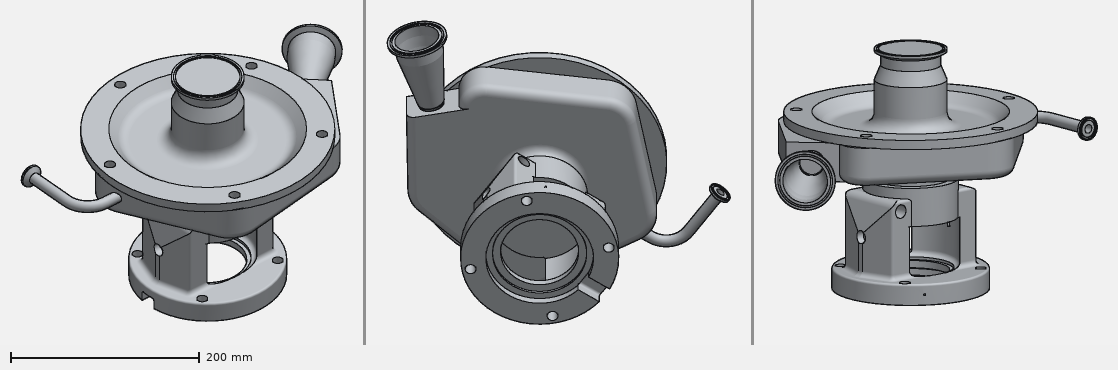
import cadquery as cq
import math

BASE_TOP = 22.8
COLLAR_BOTTOM = 78.5
LEG_TOP = 108.5
COLLAR_TOP = 120.0
BODY_BOTTOM = 139.5
FLANGE_BOTTOM = 182.0
FLANGE_TOP = 192.0
INLET_CONE_BOTTOM = 227.0
INLET_NECK_BOTTOM = 243.0
TOTAL_HEIGHT = 261.0

BASE_R = 84.0
BASE_EDGE_FILLET = 2.5
PILOT_R = 57.15
PILOT_DEPTH = 9.0
RELIEF_R = 50.0
RELIEF_DEPTH = 12.0
BASE_BORE_R = 41.5
BASE_COUNTERBORE_R = 46.0
BASE_COUNTERBORE_DEPTH = 3.0
BASE_BOLT_CIRCLE_R = 74.6
BASE_BOLT_D = 11.5
BASE_BOLT_COUNT = 4
BASE_BOLT_START = 45.0
NOTCH_WIDTH = 19.5
NOTCH_HEIGHT = 12.7
NOTCH_FILLET = 3.0
PIN_HOLE_D = 2.0
PIN_HOLE_DEPTH = 10.0
PIN_HOLE_Z = 11.5
PIN_HOLE_ANGLE = 150.0

COLLAR_R = 51.0
LEG_HALF_WIDTH = 39.5
LEG_ROOT_Y = 30.0
LEG_SIDE_Y = 58.2
LEG_RIDGE_Y = 70.0
RIDGE_HALF_WIDTH = 3.2
LEG_INNER_R = 52.6
LEG_SLOPE_START_Z = 70.0
LEG_SLOPE_RUN = 0.348
LEG_BROW_FILLET = 11.0
LEG_EDGE_FILLET = 3.5
LEG_FOOT_FILLET = 6.0
RIDGE_HOLE_D = 14.0
RIDGE_HOLE_Z = 65.5
RIDGE_HOLE_FLOOR_Y = 60.0
SLIT_WIDTH = 3.5
CROSS_HOLE_D = 14.5
CROSS_HOLE_Y = 47.2
CROSS_HOLE_Z = 97.0

NECK_R = 42.0
NECK_FILLET = 10.0
BODY_APOTHEM = 115.0
BODY_CORNER_R = 35.0
BODY_BOTTOM_FILLET = 10.0
FIRST_FACE_ANGLE = 9.0
FACE_COUNT = 5
FLANGE_R = 135.0
RECESS_R = 105.0
RECESS_DEPTH = 15.0
RECESS_FILLET = 15.0
RECESS_SLOPE = 45.0
COVER_SPIGOT_DEPTH = 10.0
COVER_BOLT_CIRCLE_R = 121.8
COVER_BOLT_D = 12.0
COVER_BOLT_COUNT = 5
COVER_BOLT_START = 45.0
INLET_R = 38.75
INLET_NECK_R = 32.0

OUTLET_ANGLE = 135.0
OUTLET_OFFSET = 96.2
OUTLET_FACE = 110.0
OUTLET_Z = 159.8
SIDE_WALL_ANGLE = 54.7
SIDE_WALL_OFFSET = 140.2
SHOULDER_ANGLE = 63.0
SHOULDER_OFFSET = 97.5
SHOULDER_CORNER_R = 27.0
STUB_R = 13.5
CONE_START = 113.0
CONE_END = 176.0
CONE_SMALL_R = 14.3
OUTLET_END = 195.2
OUTLET_TUBE_R = 25.4
OUTLET_FLANGE_R = 32.0
WALL = 1.65
BORE_TAPER_START = 182.0
BORE_THROAT_R = 22.4
BORE_THROAT = 169.5
OUTLET_GROOVE_R = 28.1
OUTLET_FERRULE_TAPER = 1.8

DRAIN_Z = 163.0
DRAIN_R = 6.35
DRAIN_START_Y = -110.0
DRAIN_BEND_START_Y = -143.3
DRAIN_BEND_R = 28.6
DRAIN_END_X = -89.0
DRAIN_FLANGE_R = 12.5
DRAIN_GROOVE_R = 10.2

FERRULE_RIM = 2.9
FERRULE_TAPER = 3.6
INLET_GROOVE_R = 35.3
GROOVE_HALF_WIDTH = 1.0
GROOVE_DEPTH = 1.0

CLEARANCE = 1.0
PICK_TOLERANCE = 0.1


def polar(radius, angle):
    """Point at a radius and an angle in degrees about the main axis."""
    a = math.radians(angle)
    return (radius * math.cos(a), radius * math.sin(a))


def cylinder(radius, bottom, top):
    return cq.Workplane("XY").workplane(offset=bottom).circle(radius).extrude(top - bottom)


def meet(wall_a, wall_b):
    """Corner where two upright walls, each (normal angle, offset), meet."""
    a1, d1 = math.radians(wall_a[0]), wall_a[1]
    a2, d2 = math.radians(wall_b[0]), wall_b[1]
    det = math.sin(a2 - a1)
    x = (d1 * math.sin(a2) - d2 * math.sin(a1)) / det
    y = (d2 * math.cos(a1) - d1 * math.cos(a2)) / det
    return (x, y)


def groove_ring(groove_r, face, back):
    """Gasket groove cutter about the Z axis of a ferrule, between two heights."""
    outer = cylinder(groove_r + GROOVE_HALF_WIDTH, back, face)
    return outer.cut(cylinder(groove_r - GROOVE_HALF_WIDTH, back, face))


def make_leg():
    """Leg on the -Y side: its plan, side and front outlines extruded and intersected."""
    root_z = BASE_TOP / 2
    height = LEG_TOP - root_z
    plan = [
        (-LEG_HALF_WIDTH, -LEG_ROOT_Y),
        (-LEG_HALF_WIDTH, -LEG_SIDE_Y),
        (-RIDGE_HALF_WIDTH, -LEG_RIDGE_Y),
        (RIDGE_HALF_WIDTH, -LEG_RIDGE_Y),
        (LEG_HALF_WIDTH, -LEG_SIDE_Y),
        (LEG_HALF_WIDTH, -LEG_ROOT_Y),
    ]
    plan_block = cq.Workplane("XY").workplane(offset=root_z).polyline(plan).close().extrude(height)
    outer_corners = cq.selectors.BoxSelector(
        (-BASE_R, -LEG_SIDE_Y - CLEARANCE, root_z), (BASE_R, -LEG_SIDE_Y + CLEARANCE, LEG_TOP))
    plan_block = plan_block.edges("|Z").edges(outer_corners).fillet(LEG_EDGE_FILLET)

    brow_y = LEG_RIDGE_Y - LEG_SLOPE_RUN * (LEG_TOP - LEG_SLOPE_START_Z)
    side = [
        (-LEG_ROOT_Y, root_z),
        (-LEG_ROOT_Y, LEG_TOP),
        (-brow_y, LEG_TOP),
        (-LEG_RIDGE_Y, LEG_SLOPE_START_Z),
        (-LEG_RIDGE_Y, root_z),
    ]
    side_block = cq.Workplane("YZ").polyline(side).close().extrude(LEG_HALF_WIDTH, both=True)
    side_block = side_block.faces(">Z").edges("<Y").fillet(LEG_BROW_FILLET)

    front_block = cq.Workplane("XY").box(
        2 * LEG_HALF_WIDTH, LEG_RIDGE_Y, height, centered=(True, False, False))
    front_block = front_block.faces(">Z").edges("|Y").fillet(LEG_EDGE_FILLET)
    front_block = front_block.translate((0, -LEG_RIDGE_Y, root_z))
    return plan_block.intersect(side_block).intersect(front_block)


def make_stand():
    """Base ring, two opposite legs and the collar they carry."""
    leg = make_leg()
    legs = leg.union(leg.rotate((0, 0, 0), (0, 0, 1), 180))
    legs = legs.cut(cylinder(LEG_INNER_R, 0, COLLAR_BOTTOM))
    base = cylinder(BASE_R, 0, BASE_TOP).faces(">Z").edges().fillet(BASE_EDGE_FILLET)
    foot_reach = LEG_RIDGE_Y + CLEARANCE
    foot_edges = cq.selectors.BoxSelector(
        (-foot_reach, -foot_reach, BASE_TOP - PICK_TOLERANCE),
        (foot_reach, foot_reach, BASE_TOP + PICK_TOLERANCE),
        boundingbox=True,
    )
    stand = base.union(legs).edges(foot_edges).fillet(LEG_FOOT_FILLET)
    return stand.union(cylinder(COLLAR_R, COLLAR_BOTTOM, COLLAR_TOP))


def cut_base(part):
    """Bores, bolt holes, notch and pin hole of the base ring."""
    part = part.cut(cylinder(BASE_BORE_R, 0, BASE_TOP))
    part = part.cut(cylinder(PILOT_R, 0, PILOT_DEPTH))
    part = part.cut(cylinder(RELIEF_R, 0, RELIEF_DEPTH))
    part = part.cut(cylinder(BASE_COUNTERBORE_R, BASE_TOP - BASE_COUNTERBORE_DEPTH, BASE_TOP))
    for i in range(BASE_BOLT_COUNT):
        x, y = polar(BASE_BOLT_CIRCLE_R, BASE_BOLT_START + i * 360 / BASE_BOLT_COUNT)
        part = part.cut(cylinder(BASE_BOLT_D / 2, 0, BASE_TOP).translate((x, y, 0)))
    notch_length = BASE_R - PILOT_R + 2 * CLEARANCE
    notch = cq.Workplane("XY").box(NOTCH_WIDTH, notch_length, NOTCH_HEIGHT, centered=(True, False, False))
    notch = notch.faces(">Z").edges("|Y").fillet(NOTCH_FILLET)
    part = part.cut(notch.translate((0, -BASE_R - CLEARANCE, 0)))
    pin_hole = cq.Workplane("YZ").circle(PIN_HOLE_D / 2).extrude(PIN_HOLE_DEPTH)
    pin_hole = pin_hole.translate((BASE_R - PIN_HOLE_DEPTH, 0, PIN_HOLE_Z))
    return part.cut(pin_hole.rotate((0, 0, 0), (0, 0, 1), PIN_HOLE_ANGLE))


def cut_leg_holes(part):
    """Ridge holes with their slits along Y, and the cross hole along X."""
    round_hole = (
        cq.Workplane("XZ").center(0, RIDGE_HOLE_Z)
        .circle(RIDGE_HOLE_D / 2).extrude(BASE_R, both=True)
    )
    slit = cq.Workplane("XY").box(SLIT_WIDTH, 2 * BASE_R, RIDGE_HOLE_D).translate((0, 0, RIDGE_HOLE_Z))
    web = cq.Workplane("XY").box(2 * RIDGE_HOLE_D, 2 * RIDGE_HOLE_FLOOR_Y, 2 * RIDGE_HOLE_D)
    pockets = round_hole.cut(web.translate((0, 0, RIDGE_HOLE_Z)))
    part = part.cut(pockets).cut(round_hole.intersect(slit))
    cross_hole = (
        cq.Workplane("YZ").center(CROSS_HOLE_Y, CROSS_HOLE_Z)
        .circle(CROSS_HOLE_D / 2).extrude(BASE_R, both=True)
    )
    return part.cut(cross_hole)


def make_body():
    """Five-sided rounded body whose discharge corner runs out to a tangential block."""
    faces = [(FIRST_FACE_ANGLE + i * 360 / FACE_COUNT, BODY_APOTHEM) for i in range(FACE_COUNT)]
    right_face, _, left_face, front_left_face, front_right_face = faces
    walls = [
        right_face,
        (SIDE_WALL_ANGLE, SIDE_WALL_OFFSET),
        (OUTLET_ANGLE, OUTLET_FACE),
        (SHOULDER_ANGLE, SHOULDER_OFFSET),
        left_face,
        front_left_face,
        front_right_face,
    ]
    corners = [meet(walls[i - 1], walls[i]) for i in range(len(walls))]
    shoulder_corner = corners[4]
    round_corners = [corners[0], corners[1], corners[5], corners[6]]
    body = cq.Workplane("XY").workplane(offset=BODY_BOTTOM).polyline(corners).close()
    body = body.extrude(FLANGE_BOTTOM - BODY_BOTTOM)

    def upright(corner):
        return cq.selectors.NearestToPointSelector((*corner, (BODY_BOTTOM + FLANGE_BOTTOM) / 2))

    for corner in round_corners:
        body = body.edges(upright(corner)).fillet(BODY_CORNER_R)
    body = body.edges(upright(shoulder_corner)).fillet(SHOULDER_CORNER_R)

    outlet_mid = tuple((a + b) / 2 for a, b in zip(corners[2], corners[3]))
    outlet_edge = cq.selectors.NearestToPointSelector((*outlet_mid, BODY_BOTTOM))
    bottom_edges = body.faces("<Z").edges()
    rounded = bottom_edges.newObject([
        e for e in bottom_edges.vals() if not e.isSame(bottom_edges.edges(outlet_edge).val())])
    return rounded.fillet(BODY_BOTTOM_FILLET)


def make_neck():
    """Neck between collar and body, flaring into the body floor."""
    flare_r = NECK_R + NECK_FILLET
    profile = (
        cq.Workplane("XZ")
        .moveTo(0, COLLAR_TOP)
        .lineTo(NECK_R, COLLAR_TOP)
        .lineTo(NECK_R, BODY_BOTTOM - NECK_FILLET)
        .radiusArc((flare_r, BODY_BOTTOM), NECK_FILLET)
        .lineTo(0, BODY_BOTTOM)
        .close()
    )
    return profile.revolve(360, (0, 0, 0), (0, 1, 0))


def make_cover():
    """Bolted flange with a dished recess and the suction inlet rising from it."""
    floor_z = FLANGE_TOP - RECESS_DEPTH
    slope = math.radians(RECESS_SLOPE)
    arc_rise = RECESS_FILLET * (1 - math.cos(slope))
    arc_run = RECESS_FILLET * math.sin(slope)
    arc_top_r = RECESS_R - (RECESS_DEPTH - arc_rise) / math.tan(slope)
    rim_z = TOTAL_HEIGHT - FERRULE_RIM
    profile = (
        cq.Workplane("XZ")
        .moveTo(0, FLANGE_BOTTOM - COVER_SPIGOT_DEPTH)
        .lineTo(RECESS_R, FLANGE_BOTTOM - COVER_SPIGOT_DEPTH)
        .lineTo(RECESS_R, FLANGE_BOTTOM)
        .lineTo(FLANGE_R, FLANGE_BOTTOM)
        .lineTo(FLANGE_R, FLANGE_TOP)
        .lineTo(RECESS_R, FLANGE_TOP)
        .lineTo(arc_top_r, floor_z + arc_rise)
        .radiusArc((arc_top_r - arc_run, floor_z), RECESS_FILLET)
        .lineTo(INLET_R + RECESS_FILLET, floor_z)
        .radiusArc((INLET_R, FLANGE_TOP), RECESS_FILLET)
        .lineTo(INLET_R, INLET_CONE_BOTTOM)
        .lineTo(INLET_NECK_R, INLET_NECK_BOTTOM)
        .lineTo(INLET_NECK_R, rim_z - FERRULE_TAPER)
        .lineTo(INLET_R, rim_z)
        .lineTo(INLET_R, TOTAL_HEIGHT)
        .lineTo(0, TOTAL_HEIGHT)
        .close()
    )
    cover = profile.revolve(360, (0, 0, 0), (0, 1, 0))
    return cover.cut(groove_ring(INLET_GROOVE_R, TOTAL_HEIGHT, TOTAL_HEIGHT - GROOVE_DEPTH))


def recess_cutter():
    """Dished space between the flange rim and the inlet, removed from the body below."""
    return cylinder(RECESS_R, FLANGE_TOP - RECESS_DEPTH, FLANGE_TOP)


def cut_cover_bolts(part):
    """Ring of bolt holes through the flange overhang."""
    for i in range(COVER_BOLT_COUNT):
        x, y = polar(COVER_BOLT_CIRCLE_R, COVER_BOLT_START + i * 360 / COVER_BOLT_COUNT)
        part = part.cut(cylinder(COVER_BOLT_D / 2, FLANGE_BOTTOM, FLANGE_TOP).translate((x, y, 0)))
    return part


def make_outlet():
    """Hollow discharge reducer, built along Z and then laid along the outlet direction."""
    rim = OUTLET_END - FERRULE_RIM
    bore_small = CONE_SMALL_R - WALL
    bore_large = OUTLET_TUBE_R - WALL
    profile = [
        (bore_small, OUTLET_FACE),
        (STUB_R, OUTLET_FACE),
        (STUB_R, CONE_START),
        (CONE_SMALL_R, CONE_START),
        (OUTLET_TUBE_R, CONE_END),
        (OUTLET_TUBE_R, rim - OUTLET_FERRULE_TAPER),
        (OUTLET_FLANGE_R, rim),
        (OUTLET_FLANGE_R, OUTLET_END),
        (bore_large, OUTLET_END),
        (bore_large, BORE_TAPER_START),
        (BORE_THROAT_R, BORE_THROAT),
        (bore_small, CONE_START),
    ]
    outlet = cq.Workplane("XZ").polyline(profile).close().revolve(360, (0, 0, 0), (0, 1, 0))
    outlet = outlet.cut(groove_ring(OUTLET_GROOVE_R, OUTLET_END, OUTLET_END - GROOVE_DEPTH))
    outlet = outlet.rotate((0, 0, 0), (0, 1, 0), 90)
    outlet = outlet.translate((0, -OUTLET_OFFSET, OUTLET_Z))
    return outlet.rotate((0, 0, 0), (0, 0, 1), OUTLET_ANGLE)


def drain_run(radius):
    """Solid rod along the drain path: straight, quarter bend, straight."""
    end_y = DRAIN_BEND_START_Y - DRAIN_BEND_R
    first = (
        cq.Workplane("XZ", origin=(0, DRAIN_START_Y, DRAIN_Z))
        .circle(radius).extrude(DRAIN_START_Y - DRAIN_BEND_START_Y)
    )
    bend = (
        cq.Workplane("XZ", origin=(0, DRAIN_BEND_START_Y, DRAIN_Z))
        .circle(radius).revolve(90, (-DRAIN_BEND_R, 0, 0), (-DRAIN_BEND_R, -1, 0))
    )
    last = (
        cq.Workplane("YZ", origin=(DRAIN_END_X, end_y, DRAIN_Z))
        .circle(radius).extrude(-DRAIN_BEND_R - DRAIN_END_X)
    )
    return first.union(bend).union(last)


def make_drain():
    """Bent, hollow drain tube leaving the body toward -Y and turning toward -X."""
    end_y = DRAIN_BEND_START_Y - DRAIN_BEND_R
    tube = drain_run(DRAIN_R)
    bore = drain_run(DRAIN_R - WALL)
    ferrule_profile = [
        (0, 0),
        (DRAIN_FLANGE_R, 0),
        (DRAIN_FLANGE_R, -FERRULE_RIM),
        (DRAIN_R, -FERRULE_RIM - FERRULE_TAPER),
        (0, -FERRULE_RIM - FERRULE_TAPER),
    ]
    ferrule = cq.Workplane("XZ").polyline(ferrule_profile).close().revolve(360, (0, 0, 0), (0, 1, 0))
    ferrule = ferrule.cut(groove_ring(DRAIN_GROOVE_R, 0, -GROOVE_DEPTH))
    ferrule = ferrule.rotate((0, 0, 0), (0, 1, 0), -90).translate((DRAIN_END_X, end_y, DRAIN_Z))
    return tube.union(ferrule).cut(bore)


stand = cut_leg_holes(cut_base(make_stand()))
housing = make_body().cut(recess_cutter()).union(make_cover()).union(make_neck())
housing = cut_cover_bolts(housing)
result = stand.union(housing).union(make_outlet()).union(make_drain())